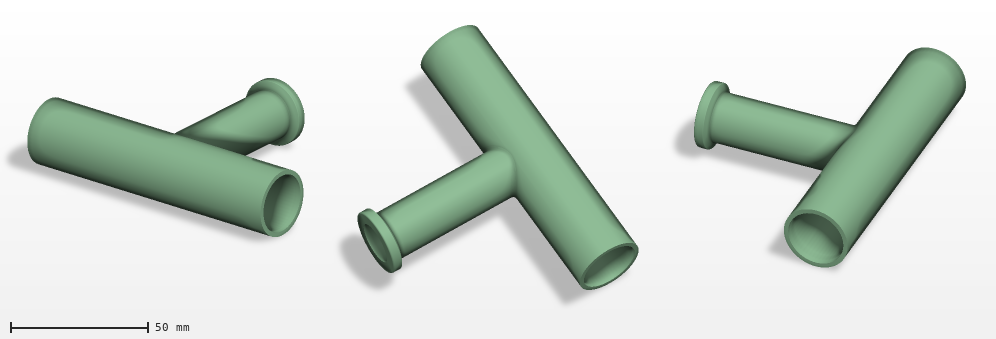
import cadquery as cq

run_length = 108
run_diameter = 25.4
run_bore = 21.9

overall_depth = 79.3
branch_diameter = 19.0
branch_bore = 15.8
branch_end = overall_depth - run_diameter / 2
junction_fillet = 1.5

flange_diameter = 25.0
rim_thickness = 3.7
flange_thickness = 5.1
front_edge_fillet = 0.5
back_edge_fillet = 0.3
root_fillet = 0.3

selection_margin = 0.2


def rod_along_x(diameter):
    """Cylinder as long as the main tube, centred on the X axis."""
    return cq.Workplane("YZ").circle(diameter / 2).extrude(run_length / 2, both=True)


def rod_along_y(diameter):
    """Cylinder from the main tube's axis to the end of the branch."""
    return cq.Workplane("XZ").circle(diameter / 2).extrude(-branch_end)


def flange():
    """Solid clamp rim with a conical back that runs down to the branch tube."""
    rim_radius = flange_diameter / 2
    rim_back = branch_end - rim_thickness
    cone_root = branch_end - flange_thickness
    outline = [
        (0, branch_end),
        (rim_radius, branch_end),
        (rim_radius, rim_back),
        (branch_diameter / 2, cone_root),
        (0, cone_root),
    ]
    return cq.Workplane("XY").polyline(outline).close().revolve(360, (0, 0), (0, 1))


def fillet_edges_between(body, y_start, y_end, radius):
    """Round the edges whose centres lie between two Y positions."""
    near = (-run_diameter, y_start, -run_diameter)
    far = (run_diameter, y_end, run_diameter)
    return body.edges(cq.selectors.BoxSelector(near, far)).fillet(radius)


def fillet_circle_at(body, y, radius):
    """Round the circular edge that lies at one Y position."""
    return fillet_edges_between(body, y - selection_margin, y + selection_margin, radius)


outside = rod_along_x(run_diameter).union(rod_along_y(branch_diameter)).union(flange())
outside = fillet_edges_between(outside, selection_margin, run_diameter / 2, junction_fillet)
outside = fillet_circle_at(outside, branch_end, front_edge_fillet)
outside = fillet_circle_at(outside, branch_end - rim_thickness, back_edge_fillet)
outside = fillet_circle_at(outside, branch_end - flange_thickness, root_fillet)

result = outside.cut(rod_along_x(run_bore)).cut(rod_along_y(branch_bore))